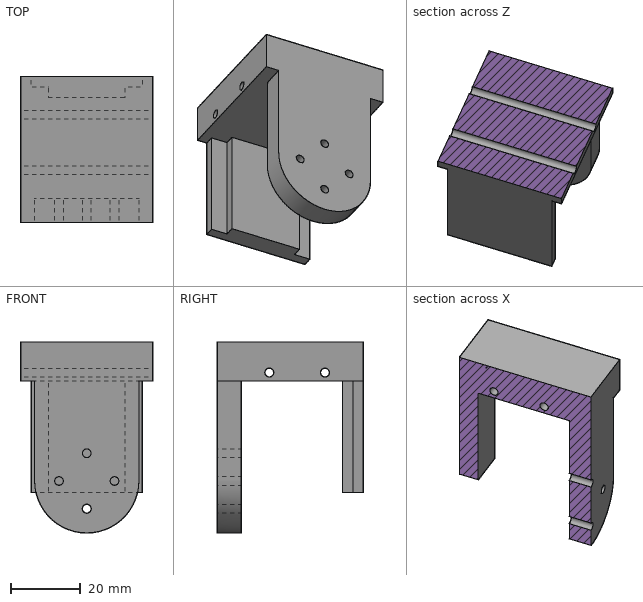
import cadquery as cq

width = 38.0
depth = 42.0
height = 55.0

cap_height = 11.35
cap_bottom = height - cap_height
front_y = -depth / 2
back_y = depth / 2

arm_width = 30.0
arm_radius = arm_width / 2
arm_thickness = 7.0

plate_length = 32.0
plate_thickness = 3.0
outer_plate_width = 32.0
inner_plate_width = 22.0

hole_diameter = 2.5
arm_hole_circle_radius = 8.0
arm_hole_count = 4
side_hole_spacing = 16.0
side_hole_center_y = 2.0
side_hole_above_cap_bottom = 2.5


def make_block(size_x, y_start, size_y, z_start, size_z):
    """Block centred on X, starting at the given Y and Z."""
    return (
        cq.Workplane("XY")
        .box(size_x, size_y, size_z, centered=(True, False, False))
        .translate((0, y_start, z_start))
    )


def make_arm():
    """Flat arm hanging from the cap, with a half-round lower end."""
    return (
        cq.Workplane("XZ", origin=(0, front_y, 0))
        .moveTo(-arm_radius, cap_bottom)
        .lineTo(-arm_radius, arm_radius)
        .threePointArc((0, 0), (arm_radius, arm_radius))
        .lineTo(arm_radius, cap_bottom)
        .close()
        .extrude(-arm_thickness)
    )


def make_arm_holes():
    """Ring of holes through the arm, concentric with its round end."""
    return (
        cq.Workplane("XZ", origin=(0, front_y, arm_radius))
        .polarArray(arm_hole_circle_radius, 0, 360, arm_hole_count)
        .circle(hole_diameter / 2)
        .extrude(-arm_thickness)
    )


def make_side_holes():
    """Two holes running across the full width of the cap."""
    hole_z = cap_bottom + side_hole_above_cap_bottom
    half_spacing = side_hole_spacing / 2
    return (
        cq.Workplane("YZ", origin=(0, side_hole_center_y, hole_z))
        .pushPoints([(-half_spacing, 0), (half_spacing, 0)])
        .circle(hole_diameter / 2)
        .extrude(width / 2, both=True)
    )


cap = make_block(width, front_y, depth, cap_bottom, cap_height)

plate_bottom = cap_bottom - plate_length
outer_plate_y = back_y - plate_thickness
inner_plate_y = outer_plate_y - plate_thickness
outer_plate = make_block(
    outer_plate_width, outer_plate_y, plate_thickness, plate_bottom, plate_length
)
inner_plate = make_block(
    inner_plate_width, inner_plate_y, plate_thickness, plate_bottom, plate_length
)

body = cap.union(make_arm()).union(outer_plate).union(inner_plate)
result = body.cut(make_arm_holes()).cut(make_side_holes())